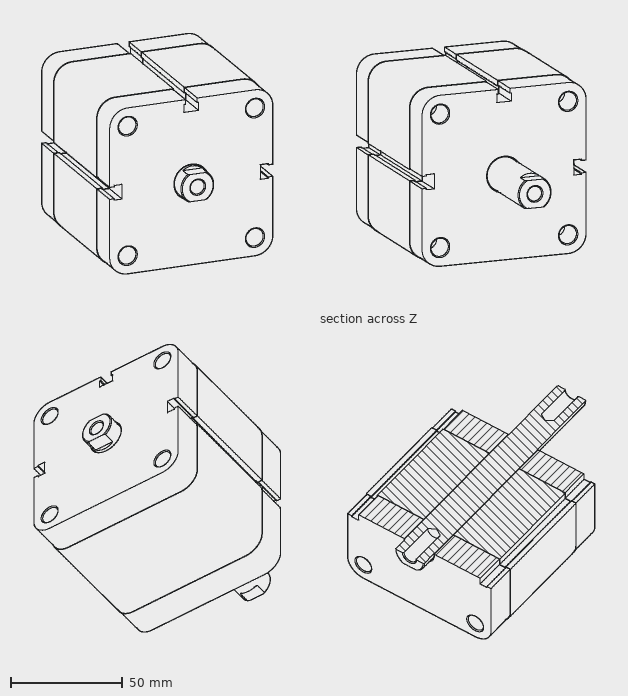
import math

import cadquery as cq

rod_length = 125.0
front_cap_start = -25.0
cap_length = 14.8
tube_length = 50.5
tube_start = front_cap_start + cap_length
rear_cap_start = tube_start + tube_length

tube_width = 80.0
cap_inset = 0.2

screw_hole_offset = 31.0
screw_hole_diameter = 8.4
screw_hole_chamfer = 0.5

slot_mouth_width = 5.2
slot_chamber_width = 6.5
slot_floor = 34.0
slot_step = 37.2
slot_angles = (0, 90, -90)

rod_diameter = 16.0
rod_chamfer = 0.5
rod_seat_chamfer = 0.5
flat_spacing = 13.0
flat_length = 6.1
flat_wall_lean = 0.4
rod_bore_diameter = 6.8
rod_bore_chamfer = 0.5
rod_bore_depth = 18.8
drill_point_angle = 118.0


def cylinder(start, length, diameter):
    """Round bar along X, centred on the rod axis."""
    return cq.Workplane("YZ", origin=(start, 0, 0)).circle(diameter / 2).extrude(length)


def slot_block(start, length, width, bottom, top):
    """Block along X, centred on Y, between two heights."""
    middle = (start + length / 2, 0, (bottom + top) / 2)
    return cq.Workplane("XY", origin=middle).box(length, width, top - bottom)


def slot_cutter(start, length, inset):
    """T-slot of the upper side, widened all round by the inset."""
    floor = slot_floor - inset
    mouth = slot_block(start, length, slot_mouth_width + 2 * inset, floor, tube_width / 2)
    chamber = slot_block(start, length, slot_chamber_width + 2 * inset, floor, slot_step + inset)
    return mouth.union(chamber)


def section(start, length, inset):
    """Rounded square block with T-slots, corner screw holes and a through bore for the rod."""
    width = tube_width - 2 * inset
    block = (
        cq.Workplane("YZ", origin=(start, 0, 0))
        .rect(width, width)
        .extrude(length)
        .edges("|X")
        .fillet(width / 2 - screw_hole_offset)
    )
    slot = slot_cutter(start, length, inset)
    for angle in slot_angles:
        block = block.cut(slot.rotate((0, 0, 0), (1, 0, 0), angle))

    screw_holes = (
        cq.Workplane("YZ", origin=(start, 0, 0))
        .rect(2 * screw_hole_offset, 2 * screw_hole_offset, forConstruction=True)
        .vertices()
        .circle(screw_hole_diameter / 2)
        .extrude(length)
    )
    return block.cut(screw_holes).cut(cylinder(start, length, rod_diameter))


def make_tube():
    """Middle section between the two caps."""
    return section(tube_start, tube_length, 0)


def make_cap(start, outer_face):
    """End cap whose screw holes and rod bore are chamfered at the outer face."""
    cap = section(start, cap_length, cap_inset)
    screw_hole_rims = cq.selectors.RadiusNthSelector(0)
    cap = cap.faces(outer_face).edges(screw_hole_rims).chamfer(screw_hole_chamfer)
    rod_bore_rim = cq.selectors.RadiusNthSelector(1)
    return cap.faces(outer_face).edges(rod_bore_rim).chamfer(rod_seat_chamfer)


def flat_cutter():
    """Wedge that mills the upper wrench flat at the -X end, with a slightly leaning end wall."""
    end = -rod_length / 2
    radius = rod_diameter / 2
    return (
        cq.Workplane("XZ")
        .moveTo(end, flat_spacing / 2)
        .lineTo(end + flat_length, flat_spacing / 2)
        .lineTo(end + flat_length + flat_wall_lean, radius)
        .lineTo(end, radius)
        .close()
        .extrude(radius, both=True)
    )


def bore_cutter():
    """Blind bore at the -X end with a chamfered mouth and a conical drill point."""
    end = -rod_length / 2
    radius = rod_bore_diameter / 2
    point_length = radius / math.tan(math.radians(drill_point_angle / 2))
    return (
        cq.Workplane("XY")
        .moveTo(end, 0)
        .lineTo(end, radius + rod_bore_chamfer)
        .lineTo(end + rod_bore_chamfer, radius)
        .lineTo(end + rod_bore_depth, radius)
        .lineTo(end + rod_bore_depth + point_length, 0)
        .close()
        .revolve(360, (0, 0, 0), (1, 0, 0))
    )


def make_rod():
    """Piston rod, the same at both ends."""
    rod = cylinder(-rod_length / 2, rod_length, rod_diameter).faces("<X or >X").chamfer(rod_chamfer)
    upper_flat = flat_cutter()
    lower_flat = upper_flat.mirror("XY")
    for cutter in (upper_flat, lower_flat, bore_cutter()):
        rod = rod.cut(cutter).cut(cutter.mirror("YZ"))
    return rod


front_cap = make_cap(front_cap_start, "<X")
tube = make_tube()
rear_cap = make_cap(rear_cap_start, ">X")
piston_rod = make_rod()

result = cq.Compound.makeCompound([front_cap.val(), tube.val(), rear_cap.val(), piston_rod.val()])